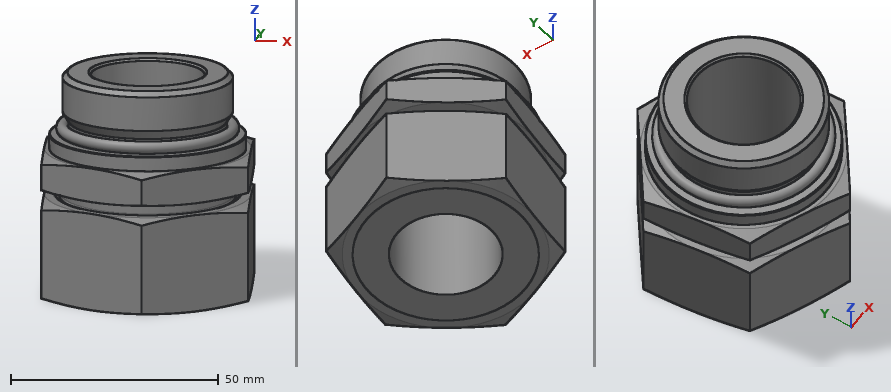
import cadquery as cq
import math

total_height = 54.1
nut_height = 24.0
hex_bottom = 26.9
hex_top = 35.25
collar_top = 38.85
groove_top = 42.15
plug_bottom = 44.5

hex_corner_height = 57.25
hex_turn = 7.5
hex_corner_diameter = hex_corner_height / math.cos(math.radians(hex_turn))
hex_across_flats = hex_corner_diameter * math.cos(math.radians(30))
hex_chamfer_angle = 15.0

bore_diameter = 27.5
thread_diameter = 45.0
neck_diameter = 42.0
relief_edge_diameter = 42.5
collar_diameter = 47.6
groove_diameter = 38.3
plug_diameter = 41.25

neck_fillet = 1.1
relief_arc_top = nut_height
runout_angle = 12.0
collar_chamfer = 0.2
plug_chamfer = 1.25
bore_chamfer = 0.6

oring_section = 3.0
oring_centre_radius = (groove_diameter + oring_section) / 2
oring_centre_z = collar_top + oring_section / 2


def chamfered_hexagon(bottom, top):
    """Hexagonal prism whose corners are turned off by a cone at both ends."""
    height = top - bottom
    prism = (
        cq.Workplane("XY", origin=(0, 0, bottom))
        .polygon(6, hex_corner_diameter)
        .extrude(height)
        .rotate((0, 0, 0), (0, 0, 1), 90 + hex_turn)
    )
    flat_radius = hex_across_flats / 2
    cone_radius = hex_corner_diameter / 2
    cone_drop = (cone_radius - flat_radius) * math.tan(math.radians(hex_chamfer_angle))
    turned_envelope = (
        cq.Workplane("XZ")
        .moveTo(0, bottom)
        .lineTo(flat_radius, bottom)
        .lineTo(cone_radius, bottom + cone_drop)
        .lineTo(cone_radius, top - cone_drop)
        .lineTo(flat_radius, top)
        .lineTo(0, top)
        .close()
        .revolve(360, (0, 0, 0), (0, 1, 0))
    )
    return prism.intersect(turned_envelope)


def make_body():
    """Fitting body: stub, relieved neck, hexagon, collar, O-ring groove and plug, bored through."""
    thread_radius = thread_diameter / 2
    neck_radius = neck_diameter / 2
    relief_edge_radius = relief_edge_diameter / 2
    collar_radius = collar_diameter / 2
    groove_radius = groove_diameter / 2
    plug_radius = plug_diameter / 2

    relief_arc_width = relief_edge_radius - neck_radius
    relief_arc_drop = math.sqrt(neck_fillet**2 - (neck_fillet - relief_arc_width) ** 2)
    relief_edge_z = relief_arc_top - relief_arc_drop
    runout_height = (thread_radius - relief_edge_radius) / math.tan(math.radians(runout_angle))

    turned = (
        cq.Workplane("XZ")
        .moveTo(0, 0)
        .lineTo(thread_radius, 0)
        .lineTo(thread_radius, relief_edge_z - runout_height)
        .lineTo(relief_edge_radius, relief_edge_z)
        .radiusArc((neck_radius, relief_arc_top), neck_fillet)
        .lineTo(neck_radius, hex_bottom - neck_fillet)
        .radiusArc((neck_radius + neck_fillet, hex_bottom), neck_fillet)
        .lineTo(collar_radius, hex_bottom)
        .lineTo(collar_radius, collar_top - collar_chamfer)
        .lineTo(collar_radius - collar_chamfer, collar_top)
        .lineTo(groove_radius, collar_top)
        .lineTo(groove_radius, groove_top)
        .lineTo(plug_radius, plug_bottom)
        .lineTo(plug_radius, total_height - plug_chamfer)
        .lineTo(plug_radius - plug_chamfer, total_height)
        .lineTo(0, total_height)
        .close()
        .revolve(360, (0, 0, 0), (0, 1, 0))
    )
    bore = cq.Workplane("XY").circle(bore_diameter / 2).extrude(total_height)
    return (
        turned.union(chamfered_hexagon(hex_bottom, hex_top))
        .cut(bore)
        .faces(">Z")
        .edges(cq.selectors.RadiusNthSelector(0))
        .chamfer(bore_chamfer)
    )


def make_nut():
    """Union nut around the stub of the body."""
    thread_hole = cq.Workplane("XY").circle(thread_diameter / 2).extrude(nut_height)
    return chamfered_hexagon(0, nut_height).cut(thread_hole)


def make_oring():
    """O-ring lying in the groove under the plug."""
    return (
        cq.Workplane("XZ")
        .center(oring_centre_radius, oring_centre_z)
        .circle(oring_section / 2)
        .revolve(360, (-oring_centre_radius, 0, 0), (-oring_centre_radius, 1, 0))
    )


body = make_body()
nut = make_nut()
oring = make_oring()

result = cq.Compound.makeCompound([body.val(), nut.val(), oring.val()])